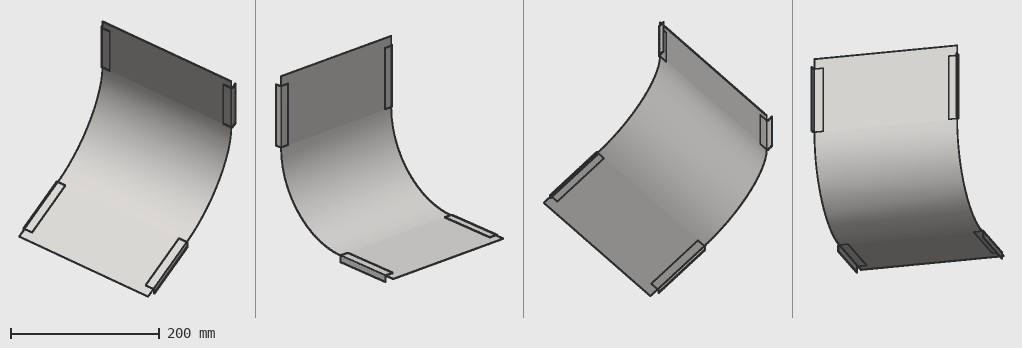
import cadquery as cq
import math

overall_size = 233.2
overall_width = 204.0

sheet_thickness = 0.75
flat_length = 105.0

bracket_thickness = 1.0
bracket_length = 90.0
bracket_flange = 14.0
bracket_drop = 10.0
bracket_setback = 1.0
inner_bend = bracket_thickness
outer_bend = inner_bend + bracket_thickness

sheet_width = overall_width - 2 * outer_bend
sheet_reach = overall_size - (bracket_drop - sheet_thickness - bracket_thickness)
bend_radius = sheet_reach - flat_length
inner_radius = bend_radius - sheet_thickness
mid_arc = math.sqrt(0.5)


def make_sheet():
    """Sheet with a level end toward -Y, a quarter bend and an upright end."""
    arc_y = -bend_radius
    arc_z = bend_radius
    return (
        cq.Workplane("YZ")
        .moveTo(-sheet_reach, 0)
        .lineTo(arc_y, 0)
        .threePointArc((arc_y + bend_radius * mid_arc, arc_z - bend_radius * mid_arc), (0, arc_z))
        .lineTo(0, sheet_reach)
        .lineTo(-sheet_thickness, sheet_reach)
        .lineTo(-sheet_thickness, arc_z)
        .threePointArc(
            (arc_y + inner_radius * mid_arc, arc_z - inner_radius * mid_arc),
            (arc_y, sheet_thickness),
        )
        .lineTo(-sheet_reach, sheet_thickness)
        .close()
        .extrude(sheet_width / 2, both=True)
    )


def make_level_bracket():
    """Folded angle on the -X edge of the level end of the sheet."""
    outer_x = -overall_width / 2
    top_z = sheet_thickness + bracket_thickness
    bottom_z = top_z - bracket_drop
    flange_x = outer_x + bracket_flange
    bend_x = outer_x + outer_bend
    bend_z = top_z - outer_bend
    start_y = -bend_radius - bracket_setback
    return (
        cq.Workplane("XZ", origin=(0, start_y, 0))
        .moveTo(outer_x, bottom_z)
        .lineTo(outer_x, bend_z)
        .threePointArc((bend_x - outer_bend * mid_arc, bend_z + outer_bend * mid_arc), (bend_x, top_z))
        .lineTo(flange_x, top_z)
        .lineTo(flange_x, sheet_thickness)
        .lineTo(bend_x, sheet_thickness)
        .threePointArc(
            (bend_x - inner_bend * mid_arc, bend_z + inner_bend * mid_arc),
            (outer_x + bracket_thickness, bend_z),
        )
        .lineTo(outer_x + bracket_thickness, bottom_z)
        .close()
        .extrude(bracket_length)
    )


def make_brackets():
    """Four brackets: one at each X edge of the level and upright ends."""
    left_bracket = make_level_bracket()
    brackets = []
    for level_bracket in (left_bracket, left_bracket.mirror("YZ")):
        upright_bracket = level_bracket.rotate((0, 0, 0), (0, 1, -1), 180)
        brackets.append(level_bracket.val())
        brackets.append(upright_bracket.val())
    return brackets


sheet = make_sheet()
brackets = make_brackets()

result = cq.Compound.makeCompound([sheet.val(), *brackets])